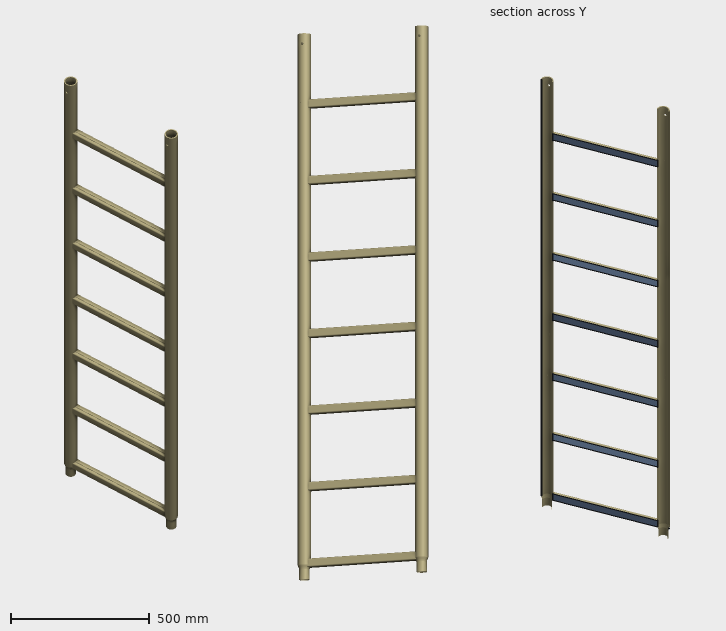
import cadquery as cq

HEIGHT = 1995.0
WIDTH = 499.0

POST_DIAMETER = 48.0
POST_BORE = 40.0
NECK_DIAMETER = 40.0
SPIGOT_DIAMETER = 38.0
SPIGOT_BORE = 34.0
SPIGOT_LENGTH = 35.0
NECK_TOP = 42.0
SHOULDER_TOP = 52.0
POST_OFFSET = (WIDTH - POST_DIAMETER) / 2
POST_POSITIONS = (-POST_OFFSET, POST_OFFSET)

PIN_HOLE_DIAMETER = 10.0
PIN_HOLE_DROP = 38.0

RUNG_COUNT = 7
RUNG_SIZE = 30.0
RUNG_CORNER_RADIUS = 4.4
RIB_WIDTH = 8.0
RIB_HEIGHT = 2.0
LOWEST_RUNG_HEIGHT = 44.0
HIGHEST_RUNG_HEIGHT = 1724.0
RUNG_PITCH = (HIGHEST_RUNG_HEIGHT - LOWEST_RUNG_HEIGHT) / (RUNG_COUNT - 1)


def revolve_upright(outline, x):
    """Solid of revolution about the vertical post axis at x, from (radius, height) points."""
    axis_bottom = (0, 0)
    axis_top = (0, HEIGHT)
    return (
        cq.Workplane("XZ")
        .polyline([axis_bottom, *outline, axis_top])
        .close()
        .revolve(360, axis_bottom, axis_top)
        .rotate((0, 0, 0), (0, 0, 1), 180)
        .translate((x, 0, 0))
    )


def post_envelope(x):
    """Outer shape of a post, without its bore."""
    outline = [
        (SPIGOT_DIAMETER / 2, 0),
        (SPIGOT_DIAMETER / 2, SPIGOT_LENGTH),
        (NECK_DIAMETER / 2, NECK_TOP),
        (POST_DIAMETER / 2, SHOULDER_TOP),
        (POST_DIAMETER / 2, HEIGHT),
    ]
    return revolve_upright(outline, x)


def post_bore(x):
    """Space inside a post: wide in the tube, narrower through the spigot."""
    outline = [
        (SPIGOT_BORE / 2, 0),
        (SPIGOT_BORE / 2, SPIGOT_LENGTH),
        (POST_BORE / 2, SHOULDER_TOP),
        (POST_BORE / 2, HEIGHT),
    ]
    return revolve_upright(outline, x)


def make_post(x):
    """Hollow post with a pin hole through both walls near the top."""
    pin_hole = (
        cq.Workplane("XZ")
        .center(x, HEIGHT - PIN_HOLE_DROP)
        .circle(PIN_HOLE_DIAMETER / 2)
        .extrude(POST_DIAMETER, both=True)
    )
    return post_envelope(x).cut(post_bore(x)).cut(pin_hole)


def make_rung(underside):
    """Rounded bar with a tread rib, whose ends fit the outer surfaces of the posts."""
    bar = (
        cq.Workplane("YZ")
        .rect(RUNG_SIZE, RUNG_SIZE)
        .extrude(POST_OFFSET, both=True)
        .edges("|X")
        .fillet(RUNG_CORNER_RADIUS)
    )
    rib = (
        cq.Workplane("YZ")
        .center(0, RUNG_SIZE / 2)
        .rect(RIB_WIDTH, 2 * RIB_HEIGHT)
        .extrude(POST_OFFSET, both=True)
    )
    rung = bar.union(rib).translate((0, 0, underside + RUNG_SIZE / 2))
    for x in POST_POSITIONS:
        rung = rung.cut(post_envelope(x))
    return rung


posts = [make_post(x) for x in POST_POSITIONS]
rungs = [make_rung(LOWEST_RUNG_HEIGHT + i * RUNG_PITCH) for i in range(RUNG_COUNT)]

result = cq.Compound.makeCompound([body.val() for body in posts + rungs])